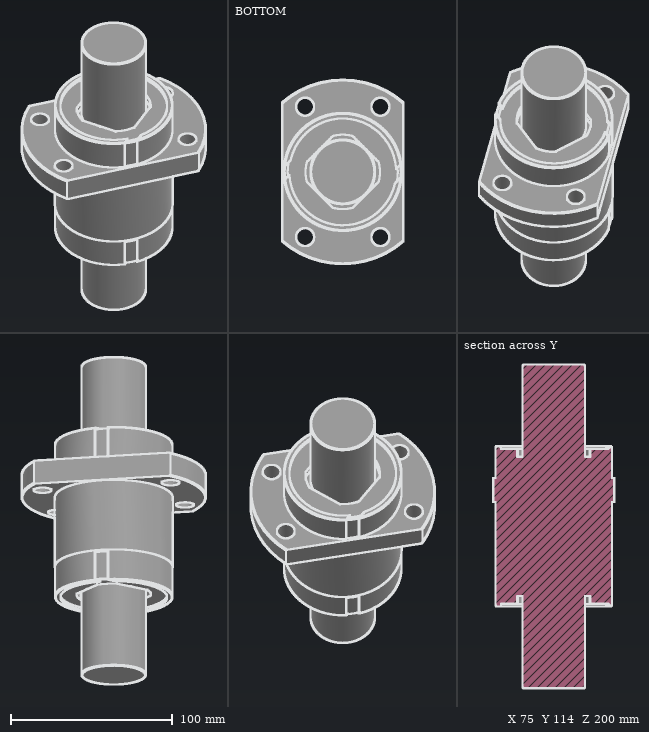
import cadquery as cq
import math

SHAFT_DIAMETER = 40.0
SHAFT_LENGTH = 200.0

NUT_LENGTH = 99.0
NUT_DIAMETER = 73.0
NUT_END_DIAMETER = 72.8
NUT_END_LENGTH = 19.5
NUT_BOTTOM = (SHAFT_LENGTH - NUT_LENGTH) / 2
NUT_TOP = NUT_BOTTOM + NUT_LENGTH
NUT_MIDDLE_Z = SHAFT_LENGTH / 2

FLANGE_DIAMETER = 114.0
FLANGE_WIDTH = 75.0
FLANGE_THICKNESS = 15.0
FLANGE_TOP = NUT_TOP - NUT_END_LENGTH
FLANGE_BOTTOM = FLANGE_TOP - FLANGE_THICKNESS
BOLT_CIRCLE_DIAMETER = 93.0
BOLT_HOLE_DIAMETER = 11.0
BOLT_ANGLES = (60, 120, 240, 300)

EDGE_CHAMFER = 0.5

RECESS_DIAMETER = 66.0
RECESS_DEPTH = 1.6
CLEARANCE_ACROSS_FLATS = 39.98
CLEARANCE_CORNER_DIAMETER = 46.0
CLEARANCE_ANGLE = 45.0
CLEARANCE_DEPTH = 4.8
RECESS_FLOOR = NUT_TOP - RECESS_DEPTH
CLEARANCE_FLOOR = RECESS_FLOOR - CLEARANCE_DEPTH

SLOT_WIDTH = 5.8
SLOT_RUN = 15.0
SLOT_ANGLE = -45.0
SLOT_CENTER_ALONG = -24.5
SLOT_CENTER_ACROSS = -24.9
LOWER_SLOT_LENGTH = 18.5
UPPER_SLOT_LENGTH = NUT_END_LENGTH
SLOT_FLOOR_DIAMETER = 71.7
LEDGE_INNER_DIAMETER = 68.0
LEDGE_DEPTH = 1.0
LEDGE_TOP = NUT_TOP - LEDGE_DEPTH


def cylinder(diameter, bottom, top):
    """Cylinder on the Z axis between two heights."""
    return cq.Workplane("XY").workplane(offset=bottom).circle(diameter / 2).extrude(top - bottom)


def chamfered_cylinder(diameter, bottom, top):
    """Cylinder on the Z axis with both rims chamfered."""
    return cylinder(diameter, bottom, top).edges().chamfer(EDGE_CHAMFER)


def make_nut_body():
    ends = chamfered_cylinder(NUT_END_DIAMETER, NUT_BOTTOM, NUT_TOP)
    middle = cylinder(NUT_DIAMETER, NUT_BOTTOM + NUT_END_LENGTH, FLANGE_TOP)
    return ends.union(middle)


def make_flange():
    disc = chamfered_cylinder(FLANGE_DIAMETER, FLANGE_BOTTOM, FLANGE_TOP)
    flats = (
        cq.Workplane("XY")
        .workplane(offset=FLANGE_BOTTOM)
        .rect(FLANGE_WIDTH, FLANGE_DIAMETER)
        .extrude(FLANGE_THICKNESS)
    )
    bolt_radius = BOLT_CIRCLE_DIAMETER / 2
    bolt_centers = [
        (bolt_radius * math.cos(math.radians(angle)), bolt_radius * math.sin(math.radians(angle)))
        for angle in BOLT_ANGLES
    ]
    holes = (
        cq.Workplane("XY")
        .workplane(offset=FLANGE_BOTTOM)
        .pushPoints(bolt_centers)
        .circle(BOLT_HOLE_DIAMETER / 2)
        .extrude(FLANGE_THICKNESS)
    )
    return disc.intersect(flats).cut(holes)


def make_slot(length):
    """Cutter for the slot on the -X side of the upper nut end."""
    slot_bottom = NUT_TOP - length
    channel = (
        cq.Workplane("XY")
        .workplane(offset=slot_bottom)
        .transformed(rotate=(0, 0, SLOT_ANGLE))
        .center(SLOT_CENTER_ALONG, SLOT_CENTER_ACROSS)
        .rect(SLOT_RUN, SLOT_WIDTH)
        .extrude(length)
    )
    kept_core = cylinder(SLOT_FLOOR_DIAMETER, slot_bottom, LEDGE_TOP)
    ledge_opening = cylinder(LEDGE_INNER_DIAMETER, RECESS_FLOOR, LEDGE_TOP)
    return channel.cut(kept_core.cut(ledge_opening))


def make_clearance():
    """Square pocket around the shaft, set diagonally, with its corners rounded off."""
    square = (
        cq.Workplane("XY")
        .workplane(offset=CLEARANCE_FLOOR)
        .transformed(rotate=(0, 0, CLEARANCE_ANGLE))
        .rect(CLEARANCE_ACROSS_FLATS, CLEARANCE_ACROSS_FLATS)
        .extrude(CLEARANCE_DEPTH)
    )
    return square.intersect(cylinder(CLEARANCE_CORNER_DIAMETER, CLEARANCE_FLOOR, RECESS_FLOOR))


def make_end_cutter(slot_length):
    """Everything removed from a nut end, placed at the upper end."""
    recess = cylinder(RECESS_DIAMETER, RECESS_FLOOR, NUT_TOP)
    slot = make_slot(slot_length)
    opposite_slot = slot.rotate((0, 0, 0), (0, 0, 1), 180)
    return recess.union(make_clearance()).union(slot).union(opposite_slot)


def make_nut():
    """Nut body with recesses and slots cut into both ends, plus the flange."""
    upper_cutter = make_end_cutter(UPPER_SLOT_LENGTH)
    lower_cutter = make_end_cutter(LOWER_SLOT_LENGTH).mirror("XY", (0, 0, NUT_MIDDLE_Z))
    return make_nut_body().cut(upper_cutter).cut(lower_cutter).union(make_flange())


shaft = chamfered_cylinder(SHAFT_DIAMETER, 0, SHAFT_LENGTH)
result = make_nut().union(shaft)